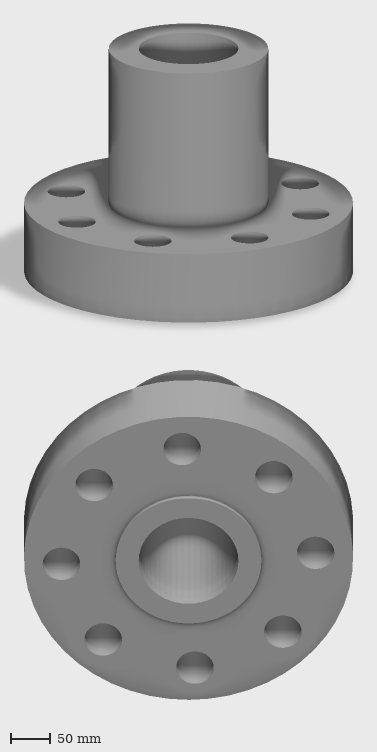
import cadquery as cq

flange_diameter = 419
flange_thickness = 91.8

face_diameter = 185.5
face_height = 6.3

neck_diameter = 203.0
bore_diameter = 127.0
total_height = 304.5
neck_height = total_height - face_height - flange_thickness

bolt_hole_count = 8
bolt_hole_diameter = 47.8
bolt_circle_diameter = 324.0


def flange_body():
    """Stack the sealing face, flange and neck, with Z = 0 at the sealing face."""
    face = cq.Workplane("XY").circle(face_diameter / 2).extrude(face_height)
    flange = face.faces(">Z").workplane().circle(flange_diameter / 2).extrude(flange_thickness)
    return flange.faces(">Z").workplane().circle(neck_diameter / 2).extrude(neck_height)


def bore():
    """Cylinder removed through the full height of the part."""
    return cq.Workplane("XY").circle(bore_diameter / 2).extrude(total_height)


def bolt_holes():
    """Ring of cylinders removed through the flange."""
    return (
        cq.Workplane("XY")
        .polarArray(bolt_circle_diameter / 2, 0, 360, bolt_hole_count)
        .circle(bolt_hole_diameter / 2)
        .extrude(face_height + flange_thickness)
    )


result = flange_body().cut(bore()).cut(bolt_holes())